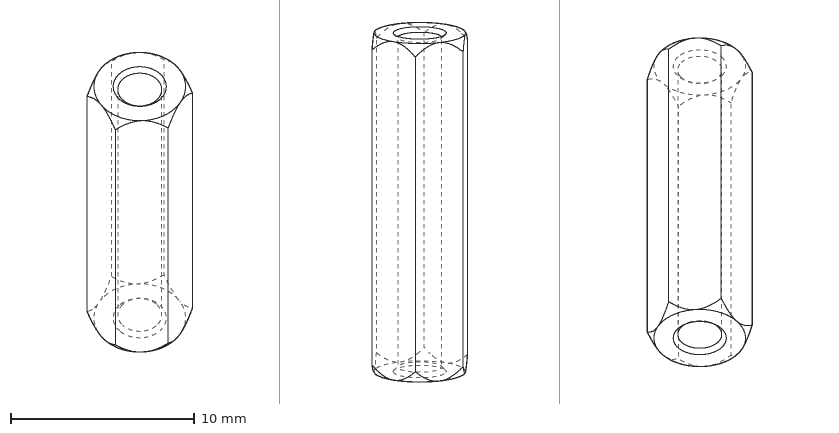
import cadquery as cq
import math

ACROSS_FLATS = 5.0
LENGTH = 19.0
BORE_DIAMETER = 2.4
COUNTERSINK_DIAMETER = 2.9
COUNTERSINK_DEPTH = (COUNTERSINK_DIAMETER - BORE_DIAMETER) / 2
CORNER_CHAMFER_ANGLE = 60.0

HEX_SIDES = 6
HALF_SIDE_ANGLE = 180 / HEX_SIDES

ACROSS_CORNERS = ACROSS_FLATS / math.cos(math.radians(HALF_SIDE_ANGLE))
END_FACE_RADIUS = ACROSS_FLATS / 2
CORNER_RADIUS = ACROSS_CORNERS / 2
CORNER_CHAMFER_WIDTH = CORNER_RADIUS - END_FACE_RADIUS
CORNER_CHAMFER_HEIGHT = CORNER_CHAMFER_WIDTH * math.tan(math.radians(CORNER_CHAMFER_ANGLE))


def hex_bar():
    """Plain hexagonal bar with two corners on the Y axis."""
    bar = cq.Workplane("XY").polygon(HEX_SIDES, ACROSS_CORNERS).extrude(LENGTH)
    return bar.rotate((0, 0, 0), (0, 0, 1), HALF_SIDE_ANGLE)


def cone_ended_cylinder(end_radius, middle_radius, cone_height):
    """Full-length round body whose radius changes conically at both ends."""
    return (
        cq.Workplane("XZ")
        .lineTo(end_radius, 0)
        .lineTo(middle_radius, cone_height)
        .lineTo(middle_radius, LENGTH - cone_height)
        .lineTo(end_radius, LENGTH)
        .lineTo(0, LENGTH)
        .close()
        .revolve(360, (0, 0, 0), (0, 1, 0))
    )


def corner_chamfer_envelope():
    """Round body with tapered ends that trims the hexagon corners."""
    return cone_ended_cylinder(END_FACE_RADIUS, CORNER_RADIUS, CORNER_CHAMFER_HEIGHT)


def countersunk_bore():
    """Through bore with a conical lead-in at each end."""
    return cone_ended_cylinder(COUNTERSINK_DIAMETER / 2, BORE_DIAMETER / 2, COUNTERSINK_DEPTH)


result = hex_bar().intersect(corner_chamfer_envelope()).cut(countersunk_bore())